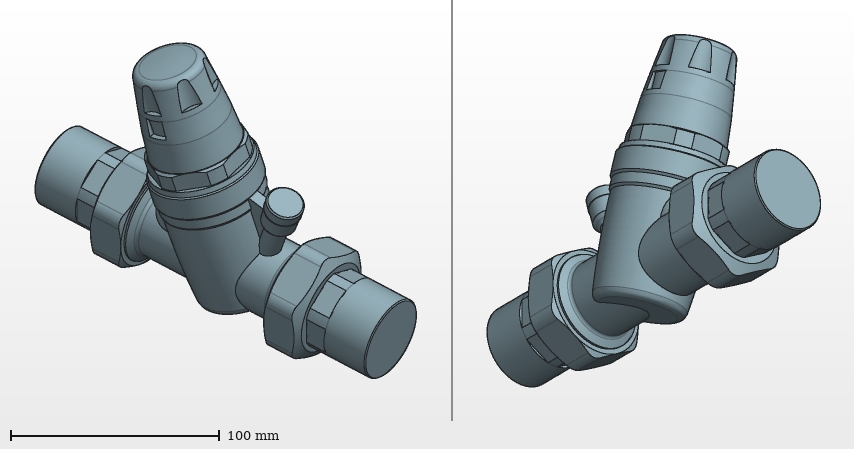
import cadquery as cq
import math


overall_length = 197.0
tail_radius = 21.0
tail_round_start = 74.0
tail_hex_flats = 39.0
tail_end_chamfer = 0.6
tail_neck_radius = tail_hex_flats / 2

nut_inner_face = 42.5
nut_outer_face = 62.5
nut_flats = 54.0
nut_corner_fillet = 7.7
nut_outer_face_radius = 23.6
nut_outer_chamfer = 3.4
nut_inner_face_radius = nut_flats / 2
nut_inner_chamfer = 1.5
nut_corner_radius = 30.0
nut_socket_depth = 8.0

pipe_radius = 19.5
collar_radius = 24.4
collar_cone_start = 41.5
collar_cone_angle = 60.0
collar_root_fillet = 2.2
pipe_end = nut_inner_face + nut_socket_depth

bonnet_tilt = 20.0
bonnet_offset = 4.5
bonnet_bottom = -21.0
bonnet_bottom_radius = 22.9
bonnet_bottom_fillet = 4.2
bonnet_belly_level = 8.0
bonnet_belly_radius = 25.5
chamber_top = 33.2
chamber_top_radius = 26.1
shoulder_radius = 27.0
shoulder_bottom = 34.5
shoulder_top = 39.7
ring_radius = 28.0
ring_bottom = 41.0
ring_top = 52.6
ring_lip_radius = 27.2
ring_lip_height = 0.6
ring_cap_radius = 26.6
hex_bottom = 56.0
hex_top = 65.0
hex_flats = 48.5
hex_corner_radius = 25.8
hex_corner_chamfer = 1.0

cap_bottom_radius = 23.8
cap_band_level = 81.0
cap_band_radius = 22.45
cap_grip_level = 93.5
cap_grip_radius = 20.8
cap_edge_level = 110.0
cap_edge_radius = 18.4
cap_dome_level = 113.6
cap_dome_edge_radius = 14.3
cap_top = 114.5
cap_edge_bulge = 0.8

scallop_count = 6
scallop_bottom = 96.6
scallop_radius = 8.25
scallop_axis_distance = 25.8

window_width = 11.0
window_bottom = 83.7
window_floor_width = 9.4
window_floor_radius = 19.4

boss_tilt = 29.0
boss_radius = 15.1
boss_offset = -26.7
boss_bottom = -8.0
boss_top = 22.0

nipple_tilt = 15.0
nipple_offset = 20.1
nipple_stem_radius = 5.8
nipple_stem_top = 42.7
nipple_head_bottom = 44.6
nipple_head_bottom_radius = 7.2
nipple_head_flare_top = 46.7
nipple_head_low_radius = 8.8
nipple_step_level = 56.0
nipple_head_radius = 9.1
nipple_cap_radius = 9.4
nipple_top = 62.6
nipple_top_chamfer = 0.8
rib_width = 6.6
rib_top = 51.7


def tilted(shape, offset, angle):
    """Move a shape built on Z sideways along X, then lean it about Y (positive leans to +X)."""
    return shape.translate((offset, 0, 0)).rotate((0, 0, 0), (0, 1, 0), angle)


def revolve_about_x(sketch):
    """Revolve a closed (x, radius) outline drawn on the XY plane about the X axis."""
    return sketch.close().revolve(360, (0, 0, 0), (1, 0, 0))


def revolve_about_z(sketch):
    """Revolve a closed (radius, height) outline drawn on the XZ plane about the Z axis."""
    return sketch.close().revolve(360, (0, 0, 0), (0, 1, 0))


def hex_bar(across_flats, start, end):
    """Hexagonal bar along X with one corner straight up."""
    across_corners = across_flats / math.cos(math.pi / 6)
    return (
        cq.Workplane("YZ", origin=(start, 0, 0))
        .polygon(6, across_corners)
        .extrude(end - start)
        .rotate((0, 0, 0), (1, 0, 0), 90)
    )


def make_tailpiece():
    """Tailpiece on the +X end: a neck inside the nut, a wrench hexagon and a round spigot."""
    end = overall_length / 2
    spigot = (
        cq.Workplane("YZ", origin=(tail_round_start, 0, 0))
        .circle(tail_radius)
        .extrude(end - tail_round_start)
        .faces(">X")
        .chamfer(tail_end_chamfer)
    )
    envelope = (
        cq.Workplane("YZ", origin=(nut_outer_face, 0, 0))
        .circle(tail_radius)
        .extrude(tail_round_start - nut_outer_face)
    )
    wrench_hex = hex_bar(tail_hex_flats, nut_outer_face, tail_round_start).intersect(envelope)
    neck = (
        cq.Workplane("YZ", origin=(pipe_end, 0, 0))
        .circle(tail_neck_radius)
        .extrude(nut_outer_face - pipe_end)
    )
    return spigot.union(wrench_hex, clean=False).union(neck, clean=False)


def make_nut():
    """Union nut on the +X end: rounded hexagon with coned ends, socketed over the pipe collar."""
    blank = hex_bar(nut_flats, nut_inner_face, nut_outer_face).edges("|X").fillet(nut_corner_fillet)
    cones = revolve_about_x(
        cq.Workplane("XY")
        .moveTo(nut_inner_face, 0)
        .lineTo(nut_inner_face, nut_inner_face_radius)
        .lineTo(nut_inner_face + nut_inner_chamfer, nut_corner_radius)
        .lineTo(nut_outer_face - nut_outer_chamfer, nut_corner_radius)
        .lineTo(nut_outer_face, nut_outer_face_radius)
        .lineTo(nut_outer_face, 0)
    )
    socket = (
        cq.Workplane("YZ", origin=(nut_inner_face, 0, 0))
        .circle(collar_radius)
        .extrude(nut_socket_depth)
    )
    neck_hole = (
        cq.Workplane("YZ", origin=(pipe_end, 0, 0))
        .circle(tail_neck_radius)
        .extrude(nut_outer_face - pipe_end)
    )
    return blank.intersect(cones).cut(socket).cut(neck_hole)


def make_pipe_run():
    """Straight pipe with a coned collar at each end that fills the nut's socket."""
    pipe = cq.Workplane("YZ", origin=(-pipe_end, 0, 0)).circle(pipe_radius).extrude(2 * pipe_end)
    slope = math.radians(collar_cone_angle)
    root = collar_cone_start - (collar_radius - pipe_radius) / math.tan(slope)
    tangent = collar_root_fillet * math.tan(slope / 2)
    collar = revolve_about_x(
        cq.Workplane("XY")
        .moveTo(root - tangent, 0)
        .lineTo(root - tangent, pipe_radius)
        .radiusArc(
            (root + tangent * math.cos(slope), pipe_radius + tangent * math.sin(slope)),
            -collar_root_fillet,
        )
        .lineTo(collar_cone_start, collar_radius)
        .lineTo(pipe_end, collar_radius)
        .lineTo(pipe_end, 0)
    )
    return pipe.union(collar).union(collar.mirror("YZ"))


def make_bonnet_hex():
    """Wrench hexagon under the hand cap, with rounded and chamfered corners."""
    across_corners = hex_flats / math.cos(math.pi / 6)
    height = hex_top - hex_bottom
    envelope = (
        cq.Workplane("XY", origin=(0, 0, hex_bottom))
        .circle(hex_corner_radius)
        .extrude(height)
        .faces(">Z")
        .chamfer(hex_corner_chamfer, hex_corner_radius - hex_flats / 2)
    )
    return (
        cq.Workplane("XY", origin=(0, 0, hex_bottom))
        .polygon(6, across_corners)
        .extrude(height)
        .rotate((0, 0, 0), (0, 0, 1), 30)
        .intersect(envelope)
    )


def cut_scallops(cap):
    """Finger scallops around the cap, one of them facing -Y."""
    for index in range(scallop_count):
        angle = math.radians(-90 + index * 360 / scallop_count)
        scallop = (
            cq.Workplane("XY", origin=(0, 0, scallop_bottom))
            .center(scallop_axis_distance * math.cos(angle), scallop_axis_distance * math.sin(angle))
            .circle(scallop_radius)
            .extrude(cap_top - scallop_bottom)
        )
        cap = cap.cut(scallop)
    return cap


def cut_windows(cap):
    """Shallow windows with a round floor and drafted sides, on the -Y and +Y sides of the cap."""
    height = cap_grip_level - window_bottom
    floor_core = (
        cq.Workplane("XY", origin=(0, 0, window_bottom)).circle(window_floor_radius).extrude(height)
    )
    for side in (-1, 1):
        wedge = (
            cq.Workplane("XY", origin=(0, 0, window_bottom))
            .moveTo(-window_floor_width / 2, 0)
            .lineTo(-window_floor_width / 2, side * window_floor_radius)
            .lineTo(-window_width / 2, side * cap_band_radius)
            .lineTo(window_width / 2, side * cap_band_radius)
            .lineTo(window_floor_width / 2, side * window_floor_radius)
            .lineTo(window_floor_width / 2, 0)
            .close()
            .extrude(height)
        )
        cap = cap.cut(wedge.cut(floor_core))
    return cap


def make_bonnet():
    """Bonnet on its own Z axis: tapered chamber, shoulder, ring, hexagon and hand cap."""
    chamber = revolve_about_z(
        cq.Workplane("XZ")
        .moveTo(0, bonnet_bottom)
        .lineTo(bonnet_bottom_radius, bonnet_bottom)
        .threePointArc(
            (bonnet_belly_radius, bonnet_belly_level), (chamber_top_radius, chamber_top)
        )
        .lineTo(0, chamber_top)
    )
    chamber = chamber.faces("<Z").edges().fillet(bonnet_bottom_fillet)
    rings = revolve_about_z(
        cq.Workplane("XZ")
        .moveTo(0, chamber_top)
        .lineTo(chamber_top_radius, chamber_top)
        .lineTo(shoulder_radius, shoulder_bottom)
        .lineTo(shoulder_radius, shoulder_top)
        .lineTo(ring_radius, ring_bottom)
        .lineTo(ring_radius, ring_top)
        .lineTo(ring_lip_radius, ring_top + ring_lip_height)
        .lineTo(ring_cap_radius, hex_bottom)
        .lineTo(0, hex_bottom)
    )
    edge_middle_radius = (cap_edge_radius + cap_dome_edge_radius) / 2 + cap_edge_bulge
    edge_middle_level = (cap_edge_level + cap_dome_level) / 2 + cap_edge_bulge
    cap = revolve_about_z(
        cq.Workplane("XZ")
        .moveTo(0, hex_bottom)
        .lineTo(cap_bottom_radius, hex_bottom)
        .lineTo(cap_bottom_radius, hex_top)
        .lineTo(cap_band_radius, cap_band_level)
        .lineTo(cap_grip_radius, cap_grip_level)
        .lineTo(cap_edge_radius, cap_edge_level)
        .threePointArc((edge_middle_radius, edge_middle_level), (cap_dome_edge_radius, cap_dome_level))
        .radiusArc((0, cap_top), -dome_radius())
    )
    cap = cut_windows(cut_scallops(cap))
    return chamber.union(rings).union(cap).union(make_bonnet_hex())


def dome_radius():
    """Sphere radius of the cap's crown, from its edge radius and rise."""
    rise = cap_top - cap_dome_level
    return (cap_dome_edge_radius**2 + rise**2) / (2 * rise)


def make_boss():
    """Round boss that fills the corner between bonnet and pipe on the -X side."""
    return cq.Workplane("XY", origin=(0, 0, boss_bottom)).circle(boss_radius).extrude(boss_top - boss_bottom)


def make_nipple():
    """Test nipple on its own Z axis, from the pipe axis up to its cap."""
    return revolve_about_z(
        cq.Workplane("XZ")
        .lineTo(nipple_stem_radius, 0)
        .lineTo(nipple_stem_radius, nipple_stem_top)
        .lineTo(nipple_head_bottom_radius, nipple_head_bottom)
        .lineTo(nipple_head_low_radius, nipple_head_flare_top)
        .lineTo(nipple_head_radius, nipple_step_level)
        .lineTo(nipple_cap_radius, nipple_step_level)
        .lineTo(nipple_cap_radius, nipple_top - nipple_top_chamfer)
        .lineTo(nipple_cap_radius - nipple_top_chamfer, nipple_top)
        .lineTo(0, nipple_top)
    )


def make_rib():
    """Flat rib from inside the bonnet ring to the nipple axis, its top square to the nipple."""
    return cq.Workplane("XY").box(
        nipple_offset, rib_width, rib_top, centered=(False, True, False)
    ).translate((-nipple_offset, 0, 0))


def make_body():
    """Valve body: pipe run, bonnet, boss, nipple and rib in one piece."""
    body = make_pipe_run().union(tilted(make_bonnet(), bonnet_offset, -bonnet_tilt))
    body = body.union(tilted(make_boss(), boss_offset, boss_tilt))
    body = body.union(tilted(make_nipple(), nipple_offset, nipple_tilt))
    return body.union(tilted(make_rib(), nipple_offset, nipple_tilt))


body = make_body()
nut = make_nut()
tailpiece = make_tailpiece()
nuts = [nut, nut.mirror("YZ")]
tailpieces = [tailpiece, tailpiece.mirror("YZ")]

result = cq.Compound.makeCompound([part.val() for part in [body, *nuts, *tailpieces]])